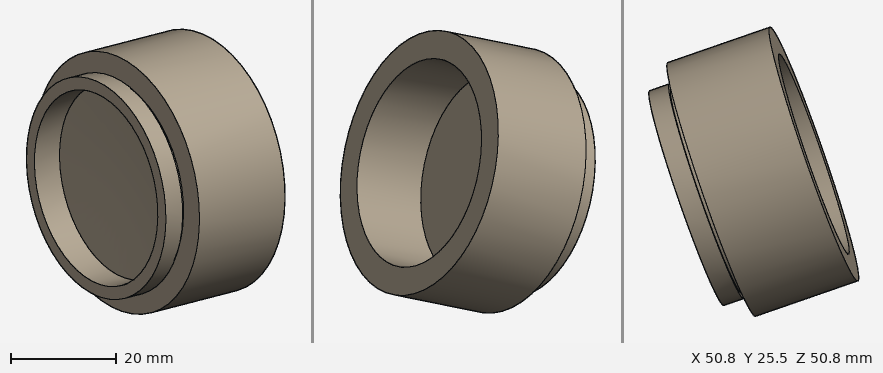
import cadquery as cq
import math

barrel_diameter = 50.8
barrel_length = 20.5
neck_diameter = 41.0
neck_length = 1.0
collar_diameter = 43.0
collar_length = 4.0
aperture_diameter = 38.0
aperture_depth = 6.0
lens_diameter = 40.0
lens_curvature_radius = 125.0
lens_center_thickness = 3.0

barrel_front_y = 0
barrel_back_y = barrel_front_y + barrel_length
collar_back_y = barrel_front_y - neck_length
collar_front_y = collar_back_y - collar_length
seat_y = collar_front_y + aperture_depth

barrel_radius = barrel_diameter / 2
neck_radius = neck_diameter / 2
collar_radius = collar_diameter / 2
aperture_radius = aperture_diameter / 2
lens_radius = lens_diameter / 2


def revolve_about_y(profile):
    """Close a YZ half-profile, points given as (y, radius), and revolve it about Y."""
    return profile.close().revolve(360, (0, 0, 0), (1, 0, 0))


def make_housing():
    """Barrel, relief neck and collar; the aperture widens to the lens bore at the seat."""
    profile = (
        cq.Workplane("YZ")
        .moveTo(collar_front_y, aperture_radius)
        .lineTo(collar_front_y, collar_radius)
        .lineTo(collar_back_y, collar_radius)
        .lineTo(collar_back_y, neck_radius)
        .lineTo(barrel_front_y, neck_radius)
        .lineTo(barrel_front_y, barrel_radius)
        .lineTo(barrel_back_y, barrel_radius)
        .lineTo(barrel_back_y, lens_radius)
        .lineTo(seat_y, lens_radius)
        .lineTo(seat_y, aperture_radius)
    )
    return revolve_about_y(profile)


def make_lens():
    """Plano-concave lens with its hollow side forward and its rim against the seat."""
    rim_angle = math.asin(lens_radius / lens_curvature_radius)
    curvature_center_y = seat_y - lens_curvature_radius * math.cos(rim_angle)
    face_center_y = curvature_center_y + lens_curvature_radius
    back_y = face_center_y + lens_center_thickness
    arc_middle = (
        curvature_center_y + lens_curvature_radius * math.cos(rim_angle / 2),
        lens_curvature_radius * math.sin(rim_angle / 2),
    )
    profile = (
        cq.Workplane("YZ")
        .moveTo(face_center_y, 0)
        .threePointArc(arc_middle, (seat_y, lens_radius))
        .lineTo(back_y, lens_radius)
        .lineTo(back_y, 0)
    )
    return revolve_about_y(profile)


housing = make_housing()
lens = make_lens()

result = cq.Compound.makeCompound([housing.val(), lens.val()])